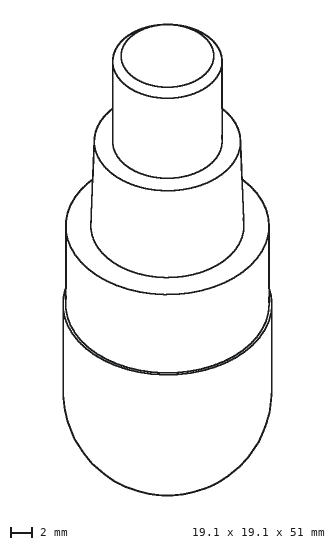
import cadquery as cq

total_height = 51.0
cap_top = 20.3
collar_top = 30.0
taper_top = 40.45

cap_radius = 9.55
collar_radius = 9.3
taper_base_radius = 7.0
taper_top_radius = 6.7
stud_radius = 5.0

chamfer_width = 0.75
chamfer_height = 0.65


def make_cap():
    """Round cap: a cylinder that ends in a hemispherical dome."""
    dome_drop = cap_radius * 0.5 ** 0.5
    profile = (
        cq.Workplane("XZ")
        .moveTo(0, 0)
        .threePointArc((dome_drop, cap_radius - dome_drop), (cap_radius, cap_radius))
        .lineTo(cap_radius, cap_top)
        .lineTo(0, cap_top)
        .close()
    )
    return profile.revolve(360, (0, 0, 0), (0, 1, 0))


def make_stem():
    """Stepped stem on the cap: collar, tapered shank and chamfered stud."""
    profile = (
        cq.Workplane("XZ")
        .moveTo(0, cap_top)
        .lineTo(collar_radius, cap_top)
        .lineTo(collar_radius, collar_top)
        .lineTo(taper_base_radius, collar_top)
        .lineTo(taper_top_radius, taper_top)
        .lineTo(stud_radius, taper_top)
        .lineTo(stud_radius, total_height - chamfer_height)
        .lineTo(stud_radius - chamfer_width, total_height)
        .lineTo(0, total_height)
        .close()
    )
    return profile.revolve(360, (0, 0, 0), (0, 1, 0))


cap = make_cap()
stem = make_stem()

result = cq.Compound.makeCompound([cap.val(), stem.val()])